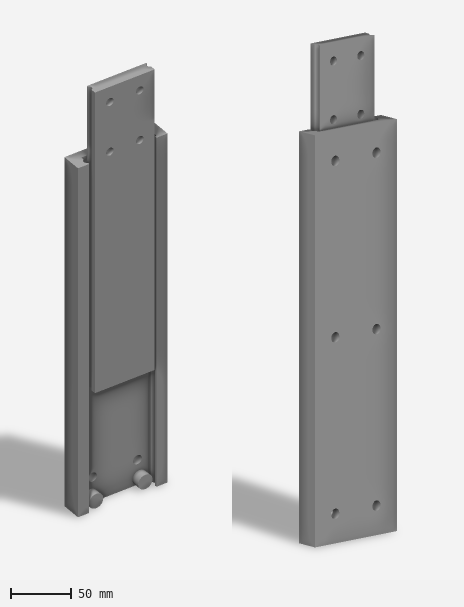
import cadquery as cq

TOTAL_HEIGHT = 422.5
TOTAL_DEPTH = 23.0

RAIL_WIDTH = 90.0
RAIL_DEPTH = 20.0
RAIL_LENGTH = 350.0
RAIL_TOP = 350.5
RAIL_BOTTOM = RAIL_TOP - RAIL_LENGTH
WEB_THICKNESS = 8.5
CHANNEL_WIDTH = 67.5

GROOVE_X = 14.8
GROOVE_RADIUS = 3.5
GROOVE_DEPTH = 2.0

RAIL_HOLE_DIAMETER = 9.0
RAIL_HOLE_SPACING = 45.0
RAIL_HOLE_ROWS = 3
RAIL_HOLE_PITCH = 150.0
RAIL_HOLE_MARGIN = (RAIL_LENGTH - (RAIL_HOLE_ROWS - 1) * RAIL_HOLE_PITCH) / 2

STOP_RADIUS = 7.0
STOP_SPACING = 49.5
STOP_HEIGHT = 8.5
STOP_Z = STOP_RADIUS

SLIDER_WIDTH = 60.0
SLIDER_BACK = 11.0
SLIDER_THICKNESS = TOTAL_DEPTH - SLIDER_BACK
SLIDER_LENGTH = 301.5
SLIDER_BOTTOM = TOTAL_HEIGHT - SLIDER_LENGTH
SLIDER_HOLE_DIAMETER = 7.5
SLIDER_HOLE_SPACING = 30.0
SLIDER_HOLE_ROWS = 2
SLIDER_HOLE_PITCH = 50.0
SLIDER_HOLE_MARGIN = 15.0


def block(back, depth, width, bottom, length):
    """Upright block centred on Y = 0."""
    return cq.Workplane("XY").box(depth, width, length, centered=(False, True, False)).translate(
        (back, 0, bottom)
    )


def cross_cylinders(radius, spacing, heights, back, depth):
    """Cylinders along X, in pairs about Y = 0 at each height."""
    centers = [(side * spacing / 2, z) for z in heights for side in (-1, 1)]
    return cq.Workplane("YZ", origin=(back, 0, 0)).pushPoints(centers).circle(radius).extrude(depth)


def groove_cutters(axis_distance, bottom, length):
    """Pair of round cutters along Z, at equal distances from Y = 0."""
    centers = [(GROOVE_X, side * axis_distance) for side in (-1, 1)]
    return cq.Workplane("XY", origin=(0, 0, bottom)).pushPoints(centers).circle(GROOVE_RADIUS).extrude(length)


def make_rail():
    rail = block(0, RAIL_DEPTH, RAIL_WIDTH, RAIL_BOTTOM, RAIL_LENGTH)
    channel = block(WEB_THICKNESS, RAIL_DEPTH - WEB_THICKNESS, CHANNEL_WIDTH, RAIL_BOTTOM, RAIL_LENGTH)
    rail = rail.cut(channel)
    groove_axis = CHANNEL_WIDTH / 2 + GROOVE_DEPTH - GROOVE_RADIUS
    rail = rail.cut(groove_cutters(groove_axis, RAIL_BOTTOM, RAIL_LENGTH))

    rows = [RAIL_BOTTOM + RAIL_HOLE_MARGIN + row * RAIL_HOLE_PITCH for row in range(RAIL_HOLE_ROWS)]
    holes = cross_cylinders(RAIL_HOLE_DIAMETER / 2, RAIL_HOLE_SPACING, rows, 0, WEB_THICKNESS)
    stops = cross_cylinders(STOP_RADIUS, STOP_SPACING, [STOP_Z], WEB_THICKNESS, STOP_HEIGHT)
    return rail.cut(holes).union(stops)


def make_slider():
    slider = block(SLIDER_BACK, SLIDER_THICKNESS, SLIDER_WIDTH, SLIDER_BOTTOM, SLIDER_LENGTH)
    groove_axis = SLIDER_WIDTH / 2 - GROOVE_DEPTH + GROOVE_RADIUS
    slider = slider.cut(groove_cutters(groove_axis, SLIDER_BOTTOM, SLIDER_LENGTH))

    rows = [TOTAL_HEIGHT - SLIDER_HOLE_MARGIN - row * SLIDER_HOLE_PITCH for row in range(SLIDER_HOLE_ROWS)]
    holes = cross_cylinders(
        SLIDER_HOLE_DIAMETER / 2, SLIDER_HOLE_SPACING, rows, SLIDER_BACK, SLIDER_THICKNESS
    )
    return slider.cut(holes)


rail = make_rail()
slider = make_slider()
result = cq.Compound.makeCompound([rail.val(), slider.val()])